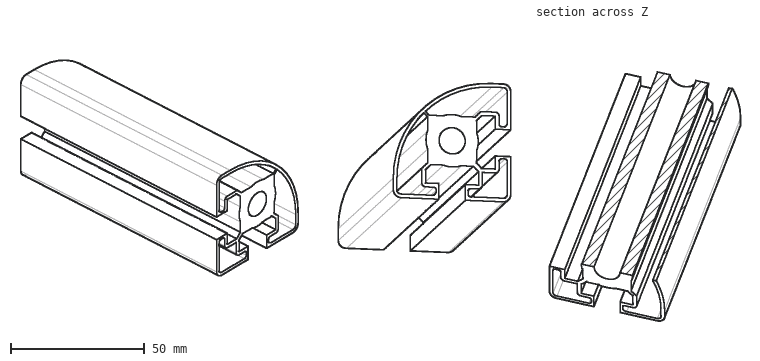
import cadquery as cq
import math

length = 100.0
side = 45.0
wall = 1.4
corner_radius = 3.0
flat_side = 7.5
chamber_radius = 1.5
pocket_radius = 1.0

bore_diameter = 10.0
core_half = 9.4
bulge_radius = 10.0

slot_opening_half = 5.1
slot_half = 10.1
slot_wall = 1.5
lip_depth = 6.0
lip_end_wall = 1.0
slot_web_offset = 1.3
chamber_web_offset = 0.6

half = side / 2
inside = half - wall
arc_center = flat_side - half
outer_arc_radius = side - flat_side
inner_arc_radius = outer_arc_radius - wall
bulge_half = math.sqrt(bulge_radius**2 - core_half**2)
slot_outside = slot_half + slot_wall
lip_inside = half - lip_depth
pocket_wall = lip_inside + slot_wall
pocket_end = slot_opening_half + lip_end_wall


def on_arc(radius, angle):
    """Point on a circle about the center of the large arc."""
    return (
        arc_center + radius * math.cos(angle),
        arc_center + radius * math.sin(angle),
    )


def extrude(outline):
    return outline.close().extrude(length / 2, both=True)


def round_corners(body, corners, radius):
    """Round the lengthwise edges that pass through the given (Y, Z) corners."""
    for y, z in corners:
        edge = cq.selectors.NearestToPointSelector((0, y, z))
        body = body.edges("|X").edges(edge).fillet(radius)
    return body


def mirrored(body):
    """Copy of a body reflected in the plane Y = Z."""
    return body.mirror(cq.Vector(0, 1, -1))


def outer_body():
    body = extrude(
        cq.Workplane("YZ")
        .moveTo(arc_center, half)
        .lineTo(-half, half)
        .lineTo(-half, -half)
        .lineTo(half, -half)
        .lineTo(half, arc_center)
        .threePointArc(on_arc(outer_arc_radius, math.pi / 4), (arc_center, half))
    )
    corners = [(-half, half), (-half, -half), (half, -half)]
    return round_corners(body, corners, corner_radius)


def slot():
    """T-slot open toward -Y, with the core bulge as its floor."""
    return extrude(
        cq.Workplane("YZ")
        .moveTo(-half, slot_opening_half)
        .lineTo(-lip_inside, slot_opening_half)
        .lineTo(-lip_inside, slot_half)
        .lineTo(-slot_half - slot_web_offset, slot_half)
        .lineTo(-core_half, core_half - slot_web_offset)
        .lineTo(-core_half, bulge_half)
        .threePointArc((-bulge_radius, 0), (-core_half, -bulge_half))
        .lineTo(-core_half, slot_web_offset - core_half)
        .lineTo(-slot_half - slot_web_offset, -slot_half)
        .lineTo(-lip_inside, -slot_half)
        .lineTo(-lip_inside, -slot_opening_half)
        .lineTo(-half, -slot_opening_half)
    )


def curved_chamber():
    """Hollow between the core, the large arc and the lip above the -Y slot."""
    web_angle = math.pi / 4 + math.asin(chamber_web_offset / math.sqrt(2) / inner_arc_radius)
    arc_middle = (web_angle + math.pi / 2) / 2
    side_corner = (-inside, inside)
    pocket_corner = (-inside, pocket_end)
    lip_corner = (-pocket_wall, pocket_end)
    slot_corner = (-pocket_wall, slot_outside)
    corners = [side_corner, pocket_corner, lip_corner, slot_corner]
    body = extrude(
        cq.Workplane("YZ")
        .polyline([(arc_center, inside)] + corners)
        .lineTo(chamber_web_offset - slot_outside, slot_outside)
        .lineTo(chamber_web_offset - core_half, core_half)
        .lineTo(-bulge_half, core_half)
        .threePointArc((0, bulge_radius), (bulge_half, core_half))
        .lineTo(core_half - chamber_web_offset, core_half)
        .lineTo(*on_arc(inner_arc_radius, web_angle))
        .threePointArc(on_arc(inner_arc_radius, arc_middle), (arc_center, inside))
    )
    body = round_corners(body, [side_corner, pocket_corner, slot_corner], chamber_radius)
    return round_corners(body, [lip_corner], pocket_radius)


def corner_chamber():
    """L-shaped hollow in the square corner between the two slots."""
    pocket_corners = [(-inside, -pocket_end), (-pocket_wall, -pocket_end)]
    mirrored_pocket = [(z, y) for y, z in reversed(pocket_corners)]
    side_corner = (-inside, -inside)
    slot_corner = (-pocket_wall, -slot_outside)
    mirrored_slot_corner = (-slot_outside, -pocket_wall)
    inner_corner = (-slot_outside, -slot_outside)
    outline = (
        [side_corner]
        + pocket_corners
        + [slot_corner, inner_corner, mirrored_slot_corner]
        + mirrored_pocket
    )
    body = extrude(cq.Workplane("YZ").polyline(outline))
    body = round_corners(body, [side_corner, slot_corner, mirrored_slot_corner], chamber_radius)
    return round_corners(body, pocket_corners + mirrored_pocket, pocket_radius)


bore = cq.Workplane("YZ").circle(bore_diameter / 2).extrude(length / 2, both=True)

result = outer_body().cut(bore).cut(corner_chamber())
for hollow in (slot(), curved_chamber()):
    result = result.cut(hollow).cut(mirrored(hollow))